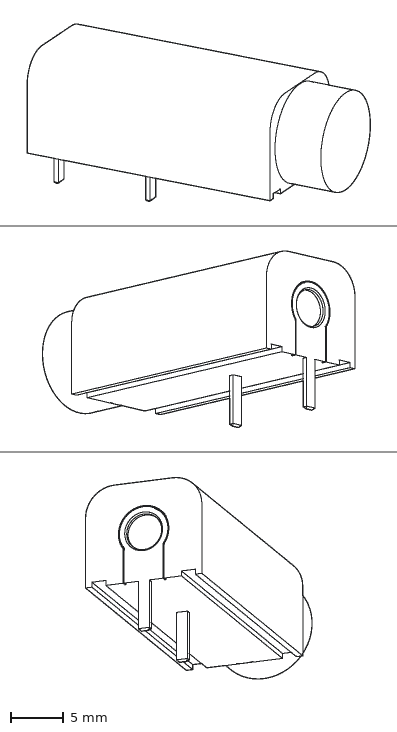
import cadquery as cq

body_length = 26.5
body_width = 12.0
body_height = 10.06
top_edge_radius = 3.0

barrel_diameter = 10.0
barrel_length = 5.0
axis_height = barrel_diameter / 2

groove_width = 1.43
groove_depth = 0.5
groove_edge_distance = 0.67
groove_offset = body_width / 2 - groove_edge_distance - groove_width / 2

plate_thickness = 0.5
plate_head_diameter = 5.0
plate_stem_width = 4.0
plate_gap = 0.1
hole_diameter = 3.6
hole_chamfer = 0.15

pin_thickness = 0.5
pin_width = 1.15
pin_side_offset = -0.025
pin_length = 5.0
pin_tip_bevel = 0.2
pin_spacing = 10.0


def box_from_corner(length, width, height):
    """Box starting at x = 0 and z = 0, centred on y = 0."""
    return cq.Workplane("XY").box(length, width, height, centered=(False, True, False))


def cylinder_along_x(diameter, length):
    """Cylinder on the socket axis, starting at x = 0."""
    return cq.Workplane("YZ").center(0, axis_height).circle(diameter / 2).extrude(length)


def make_body():
    body = box_from_corner(body_length, body_width, body_height)
    body = body.edges("|X and >Z").fillet(top_edge_radius)
    for side in (-1, 1):
        groove = box_from_corner(body_length, groove_width, groove_depth)
        body = body.cut(groove.translate((0, side * groove_offset, 0)))
    return body


def make_barrel():
    return cylinder_along_x(barrel_diameter, barrel_length).translate((body_length, 0, 0))


def make_keyhole(head_diameter, stem_width):
    head = cylinder_along_x(head_diameter, plate_thickness)
    stem = box_from_corner(plate_thickness, stem_width, axis_height)
    return head.union(stem)


def make_plate_gap():
    pocket = make_keyhole(plate_head_diameter + 2 * plate_gap, plate_stem_width + 2 * plate_gap)
    return pocket.cut(make_keyhole(plate_head_diameter, plate_stem_width))


def make_plate_hole():
    hole = cylinder_along_x(hole_diameter, plate_thickness)
    entry_radius = hole_diameter / 2 + hole_chamfer
    entry = cq.Solid.makeCone(
        entry_radius,
        hole_diameter / 2,
        hole_chamfer,
        pnt=cq.Vector(0, 0, axis_height),
        dir=cq.Vector(1, 0, 0),
    )
    return hole.union(cq.Workplane(entry))


def make_pin(x_start):
    pin = box_from_corner(pin_thickness, pin_width, pin_length)
    pin = pin.faces("<Z").chamfer(pin_tip_bevel)
    return pin.translate((x_start, pin_side_offset, -pin_length))


result = make_body().union(make_barrel())
result = result.cut(make_plate_gap()).cut(make_plate_hole())
for pin_x in (0, pin_spacing):
    result = result.union(make_pin(pin_x))